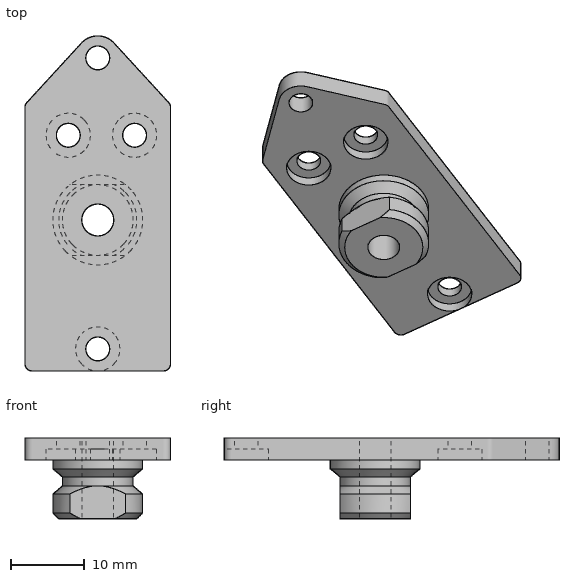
import cadquery as cq
import math

plate_width = 19.8
plate_length = 45.5
plate_thickness = 3.0
corner_radius = 1.0
shoulder_y = 36.15
tip_radius = 3.0
tip_center_y = plate_length - tip_radius

screw_hole_diameter = 3.2
screw_head_diameter = 6.0
screw_head_depth = plate_thickness / 2
end_wall = 0.005
end_hole_y = screw_head_diameter / 2 + end_wall
pair_y = 32.0
pair_left_x = -4.0
pair_right_x = 5.0

knob_y = 20.5
knob_bore_diameter = 4.3
knob_diameter = 12.2
neck_diameter = 9.6
collar_height = 1.2
collar_taper_height = 1.1
neck_height = 1.2
head_taper_height = 1.1
head_height = 2.6
head_chamfer_height = 0.8
head_chamfer_width = 0.8
across_flats = neck_diameter

collar_bottom = -collar_height
neck_top = collar_bottom - collar_taper_height
neck_bottom = neck_top - neck_height
head_top = neck_bottom - head_taper_height
head_bottom = head_top - head_height
knob_bottom = head_bottom - head_chamfer_height


def vertical_cylinder(x, y, diameter, bottom, top):
    return (
        cq.Workplane("XY", origin=(x, y, bottom))
        .circle(diameter / 2)
        .extrude(top - bottom)
    )


def make_plate():
    """Rectangular plate narrowing to a rounded tip at +Y."""
    half_width = plate_width / 2
    shoulder_drop = tip_center_y - shoulder_y
    center_distance = math.hypot(half_width, shoulder_drop)
    tangent_angle = math.acos(tip_radius / center_distance) - math.atan2(shoulder_drop, half_width)
    tangent_x = tip_radius * math.cos(tangent_angle)
    tangent_y = tip_center_y + tip_radius * math.sin(tangent_angle)
    plate = (
        cq.Workplane("XY")
        .moveTo(-half_width, 0)
        .lineTo(half_width, 0)
        .lineTo(half_width, shoulder_y)
        .lineTo(tangent_x, tangent_y)
        .threePointArc((0, plate_length), (-tangent_x, tangent_y))
        .lineTo(-half_width, shoulder_y)
        .close()
        .extrude(plate_thickness)
    )
    side_corners = plate.edges("|Z").edges("<X or >X")
    return side_corners.fillet(corner_radius)


def make_knob():
    """Turned collar, neck and chamfered head, with two flats milled on the head."""
    knob_radius = knob_diameter / 2
    neck_radius = neck_diameter / 2
    knob = (
        cq.Workplane("XZ")
        .polyline([
            (0, 0),
            (knob_radius, 0),
            (knob_radius, collar_bottom),
            (neck_radius, neck_top),
            (neck_radius, neck_bottom),
            (knob_radius, head_top),
            (knob_radius, head_bottom),
            (knob_radius - head_chamfer_width, knob_bottom),
            (0, knob_bottom),
        ])
        .close()
        .revolve(360, (0, 0), (0, 1))
    )
    head_envelope = (
        cq.Workplane("XY", origin=(0, 0, knob_bottom))
        .rect(knob_diameter, across_flats)
        .extrude(neck_bottom - knob_bottom)
    )
    upper_envelope = vertical_cylinder(0, 0, knob_diameter, neck_bottom, 0)
    knob = knob.intersect(head_envelope.union(upper_envelope))
    return knob.translate((0, knob_y, 0))


def screw_hole(x, y):
    return vertical_cylinder(x, y, screw_hole_diameter, 0, plate_thickness)


def counterbored_hole(x, y):
    """Screw hole with its head recess in the plate underside."""
    recess = vertical_cylinder(x, y, screw_head_diameter, 0, screw_head_depth)
    return screw_hole(x, y).union(recess)


result = make_plate().union(make_knob())
for x, y in [(0, end_hole_y), (pair_left_x, pair_y), (pair_right_x, pair_y)]:
    result = result.cut(counterbored_hole(x, y))
result = result.cut(screw_hole(0, tip_center_y))
knob_bore = vertical_cylinder(0, knob_y, knob_bore_diameter, knob_bottom, plate_thickness)
result = result.cut(knob_bore)